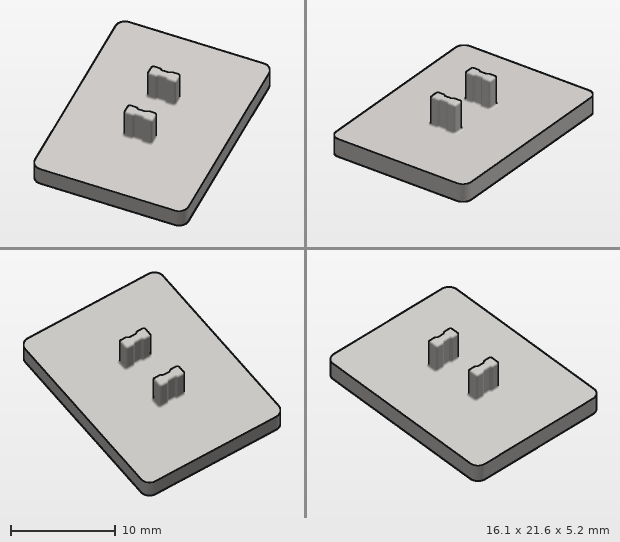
import cadquery as cq
import math

plate_width = 16.05
plate_length = 21.55
plate_thickness = 2.0
plate_corner_radius = 1.0

pin_spacing = 5.7
pin_width = 3.0
pin_depth = 1.25
pin_height = 3.2
pin_corner_radius = 0.25
waist_depth = 0.9
waist_notch_depth = (pin_depth - waist_depth) / 2
waist_flat_width = 0.6
waist_blend_radius = 0.25

pin_edge_radius = 0.25


def make_plate():
    """Rectangular plate with its underside on Z = 0 and rounded vertical corners."""
    plate = cq.Workplane("XY").box(plate_width, plate_length, plate_thickness, centered=(True, True, False))
    return plate.edges("|Z").fillet(plate_corner_radius)


def waist_side(start, side):
    """Add one long side of the pin to a clockwise outline.

    side is +1 for the +Y side, run towards +X, and -1 for the -Y side, run
    towards -X. Each shoulder is an S of two equal tangent arcs between the
    outer face and the waist flat.
    """
    outer_y = pin_depth / 2
    waist_y = waist_depth / 2
    middle_y = outer_y - waist_notch_depth / 2

    turn = math.acos(1 - waist_notch_depth / (2 * waist_blend_radius))
    arc_run = waist_blend_radius * math.sin(turn)
    half_arc_run = waist_blend_radius * math.sin(turn / 2)
    half_arc_drop = waist_blend_radius * (1 - math.cos(turn / 2))

    flat_x = waist_flat_width / 2
    middle_x = flat_x + arc_run
    shoulder_x = middle_x + arc_run

    convex_y = outer_y - half_arc_drop
    concave_y = waist_y + half_arc_drop
    convex_x = shoulder_x - half_arc_run
    concave_x = flat_x + half_arc_run

    def at(x, y):
        return (side * x, side * y)

    return (
        start.lineTo(*at(-shoulder_x, outer_y))
        .threePointArc(at(-convex_x, convex_y), at(-middle_x, middle_y))
        .threePointArc(at(-concave_x, concave_y), at(-flat_x, waist_y))
        .lineTo(*at(flat_x, waist_y))
        .threePointArc(at(concave_x, concave_y), at(middle_x, middle_y))
        .threePointArc(at(convex_x, convex_y), at(shoulder_x, outer_y))
        .lineTo(*at(pin_width / 2, outer_y))
    )


def make_pin(center_y):
    """Waisted pin standing on the plate's top face, with rounded corners and top edge."""
    outline = cq.Workplane("XY").moveTo(-pin_width / 2, pin_depth / 2)
    outline = waist_side(outline, 1)
    outline = outline.lineTo(pin_width / 2, -pin_depth / 2)
    outline = waist_side(outline, -1)
    pin = outline.close().extrude(pin_height)

    for end in ("<X", ">X"):
        pin = pin.faces(end).edges("|Z").fillet(pin_corner_radius)
    pin = pin.faces(">Z").edges().fillet(pin_edge_radius)
    return pin.translate((0, center_y, plate_thickness))


def round_pin_roots(body):
    """Fillet the joint between every pin and the plate's top face."""
    margin = 0.1
    roots = cq.selectors.BoxSelector(
        (-pin_width, -pin_spacing, plate_thickness - margin),
        (pin_width, pin_spacing, plate_thickness + margin),
    )
    return body.edges(roots).fillet(pin_edge_radius)


result = make_plate()
for pin_y in (-pin_spacing / 2, pin_spacing / 2):
    result = result.union(make_pin(pin_y))
result = round_pin_roots(result)